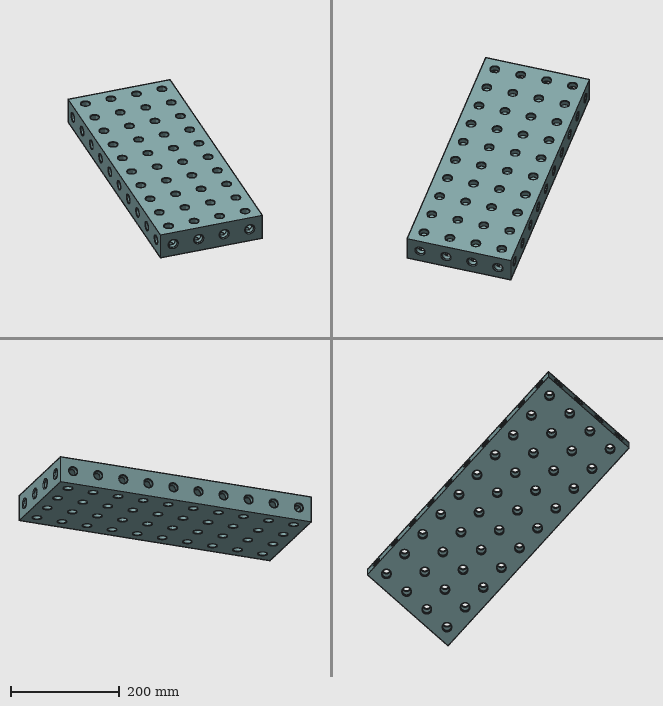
import cadquery as cq
length = 500.0
width = 200.0
height = 50.0
side_wall = 10.0
end_wall = 11.0

pitch = 50.0
columns = int(length / pitch)
rows = int(width / pitch)

end_mouth_diameter = 20.0
end_sink_depth = 1.95
face_sink_depth = 1.0
bore_diameter = end_mouth_diameter - 2 * end_sink_depth


def centred_positions(count):
    """Places of `count` holes at one pitch, centred on zero."""
    return [(i - (count - 1) / 2) * pitch for i in range(count)]


def hole_cutter(span, sink_depth):
    """Bore along Z through both walls, countersunk at each outer mouth."""
    bore_radius = bore_diameter / 2
    mouth_radius = bore_radius + sink_depth
    half_span = span / 2
    return (
        cq.Workplane("XZ")
        .moveTo(0, -half_span)
        .lineTo(mouth_radius, -half_span)
        .lineTo(bore_radius, -half_span + sink_depth)
        .lineTo(bore_radius, half_span - sink_depth)
        .lineTo(mouth_radius, half_span)
        .lineTo(0, half_span)
        .close()
        .revolve(360, (0, 0, 0), (0, 1, 0))
    )


def drill(body, cutter, positions):
    """Cut one copy of the cutter at each position."""
    copies = [cutter.translate(position).val() for position in positions]
    return body.cut(cq.Workplane(cq.Compound.makeCompound(copies)))


column_places = centred_positions(columns)
row_places = centred_positions(rows)

vertical_cutter = hole_cutter(height, face_sink_depth)
crosswise_cutter = hole_cutter(width, face_sink_depth).rotate((0, 0, 0), (1, 0, 0), 90)
lengthwise_cutter = hole_cutter(length, end_sink_depth).rotate((0, 0, 0), (0, 1, 0), 90)

drilled_block = cq.Workplane("XY").box(length, width, height)
drilled_block = drill(drilled_block, vertical_cutter, [(x, y, 0) for x in column_places for y in row_places])
drilled_block = drill(drilled_block, crosswise_cutter, [(x, 0, 0) for x in column_places])
drilled_block = drill(drilled_block, lengthwise_cutter, [(0, y, 0) for y in row_places])

cavity = cq.Workplane("XY").box(length - 2 * end_wall, width - 2 * side_wall, height - 2 * side_wall)
result = drilled_block.cut(cavity)